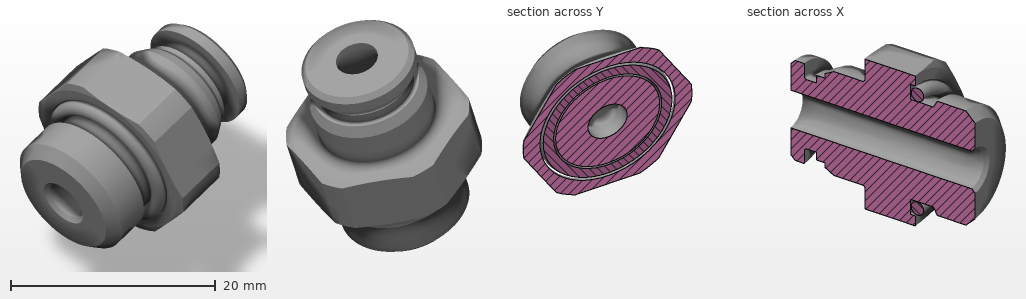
import cadquery as cq
import math

length = 21.7

hex_across_flats = 17.0
hex_across_corners = hex_across_flats / math.cos(math.pi / 6)
hex_corner_radius = 9.2
hex_front = 7.03
hex_back = 13.02
hex_chamfer_depth = 0.2

thread_radius = 6.49
thread_tip_radius = 5.4
thread_tip_length = 1.1
thread_back = 4.5
undercut_start = 4.95
undercut_radius = 5.69

sleeve_radius = 5.9
sleeve_root_fillet = 0.24
sleeve_cone_start = 16.65
sleeve_end = 17.7
sleeve_end_radius = 5.32
collar_radius = 4.82
collar_end = 18.73

neck_radius = 3.95
neck_fillet = 0.25
flange_radius = 5.69
flange_front = 20.07
flange_chamfer = 0.5

bore_radius = 2.1
bore_chamfer = 0.41

ring_outer_radius = 7.2
ring_front = 6.05
ring_section_radius = (ring_outer_radius - undercut_radius) / 2
ring_center_radius = undercut_radius + ring_section_radius
ring_center_y = ring_front + ring_section_radius
recess_radius = 7.33
recess_floor = ring_center_y + ring_section_radius


def revolve_about_y(profile):
    """Revolve a closed profile, drawn as (radius, Y), about the Y axis."""
    return profile.close().revolve(360, (0, 0, 0), (0, 1, 0))


def make_turned_body():
    """Every round step of the fitting, from the thread tip to the flange."""
    fillet_middle = 1 - math.sqrt(0.5)
    root_y = hex_back + sleeve_root_fillet
    neck_end = flange_front - neck_fillet
    profile = (
        cq.Workplane("XY")
        .moveTo(0, 0)
        .lineTo(thread_tip_radius, 0)
        .lineTo(thread_radius, thread_tip_length)
        .lineTo(thread_radius, thread_back)
        .lineTo(undercut_radius, undercut_start)
        .lineTo(undercut_radius, hex_back)
        .lineTo(sleeve_radius + sleeve_root_fillet, hex_back)
        .threePointArc(
            (
                sleeve_radius + sleeve_root_fillet * fillet_middle,
                hex_back + sleeve_root_fillet * fillet_middle,
            ),
            (sleeve_radius, root_y),
        )
        .lineTo(sleeve_radius, sleeve_cone_start)
        .lineTo(sleeve_end_radius, sleeve_end)
        .lineTo(collar_radius, sleeve_end)
        .lineTo(collar_radius, collar_end)
        .lineTo(neck_radius, collar_end)
        .lineTo(neck_radius, neck_end)
        .threePointArc(
            (
                neck_radius + neck_fillet * fillet_middle,
                flange_front - neck_fillet * fillet_middle,
            ),
            (neck_radius + neck_fillet, flange_front),
        )
        .lineTo(flange_radius, flange_front)
        .lineTo(flange_radius, length - flange_chamfer)
        .lineTo(flange_radius - flange_chamfer, length)
        .lineTo(0, length)
    )
    return revolve_about_y(profile)


def make_hexagon():
    """Hexagon with corners toward +X and -X, rounded corners and chamfered faces."""
    prism = (
        cq.Workplane("XZ", origin=(0, hex_front, 0))
        .polygon(6, hex_across_corners)
        .extrude(hex_front - hex_back)
    )
    face_radius = hex_across_flats / 2
    envelope = revolve_about_y(
        cq.Workplane("XY")
        .moveTo(0, hex_front)
        .lineTo(face_radius, hex_front)
        .lineTo(hex_corner_radius, hex_front + hex_chamfer_depth)
        .lineTo(hex_corner_radius, hex_back - hex_chamfer_depth)
        .lineTo(face_radius, hex_back)
        .lineTo(0, hex_back)
    )
    return prism.intersect(envelope)


def make_ring_recess():
    """Annular pocket in the front face of the hexagon."""
    return (
        cq.Workplane("XZ", origin=(0, hex_front, 0))
        .circle(recess_radius)
        .circle(undercut_radius)
        .extrude(hex_front - recess_floor)
    )


def make_bore():
    """Through bore with a chamfered mouth at the threaded end."""
    return revolve_about_y(
        cq.Workplane("XY")
        .moveTo(0, 0)
        .lineTo(bore_radius + bore_chamfer, 0)
        .lineTo(bore_radius, bore_chamfer)
        .lineTo(bore_radius, length)
        .lineTo(0, length)
    )


def make_fitting():
    hexagon = make_hexagon().cut(make_ring_recess())
    return make_turned_body().union(hexagon).cut(make_bore())


def make_sealing_ring():
    section = cq.Workplane("XY").center(ring_center_radius, ring_center_y).circle(ring_section_radius)
    return section.revolve(360, (-ring_center_radius, 0, 0), (-ring_center_radius, 1, 0))


fitting = make_fitting()
sealing_ring = make_sealing_ring()

result = cq.Compound.makeCompound([fitting.solids().val(), sealing_ring.val()])